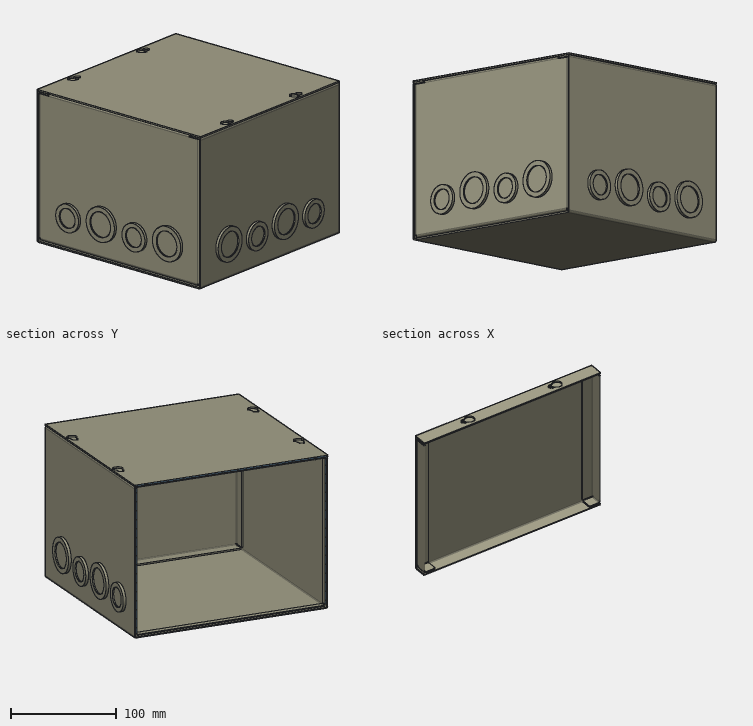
import cadquery as cq
import math

OVERALL_WIDTH = 209.1
OVERALL_HEIGHT = 154.0
KNOCKOUT_PROTRUSION = 3.0
BOX_WIDTH = OVERALL_WIDTH - 2 * KNOCKOUT_PROTRUSION
BOX_HALF = BOX_WIDTH / 2

SHEET = 1.53
BEND_RADIUS = 2.0
INNER_BEND_RADIUS = BEND_RADIUS - SHEET
FLANGE_LENGTH = 12.8
FLANGE_CLEARANCE = 1.7
PANEL_FLOOR_GAP = 0.8

BOTTOM_Z = -OVERALL_HEIGHT / 2
TOP_Z = OVERALL_HEIGHT / 2
COVER_BOTTOM_Z = TOP_Z - SHEET

PANEL_HALF = BOX_HALF - SHEET
PANEL_BOTTOM_Z = BOTTOM_Z + SHEET + PANEL_FLOOR_GAP
PANEL_TOP_Z = COVER_BOTTOM_Z

SMALL_KNOCKOUT = (14.2, 9.8)
LARGE_KNOCKOUT = (17.5, 12.8)
KNOCKOUTS_IN_ROW = [SMALL_KNOCKOUT, LARGE_KNOCKOUT, SMALL_KNOCKOUT, LARGE_KNOCKOUT]
KNOCKOUT_RECESS = 1.5
KNOCKOUT_PITCH = 41.2
KNOCKOUT_LOW_EDGE = 17.5
PANEL_KNOCKOUT_RISE = 2.0

KEYHOLE_X = 95.0
KEYHOLE_Y = 50.5
KEYHOLE_TRAVEL = 6.5
KEYHOLE_HEAD_RADIUS = 5.0
KEYHOLE_SLOT_RADIUS = 3.0
SCREW_HOLE_RADIUS = 2.0


def screw_points():
    return [(sx * KEYHOLE_X, sy * KEYHOLE_Y) for sx in (-1, 1) for sy in (-1, 1)]


def knockout_row(plane, low_edge):
    """A row of alternating small and large recessed discs that rise along the plane normal.

    The lowest points of all discs lie at the local height low_edge.
    """
    row = []
    middle_index = (len(KNOCKOUTS_IN_ROW) - 1) / 2
    for index, (outer, inner) in enumerate(KNOCKOUTS_IN_ROW):
        along = (index - middle_index) * KNOCKOUT_PITCH
        centre = cq.Workplane(plane).center(along, low_edge + outer)
        disc = centre.circle(outer).extrude(KNOCKOUT_PROTRUSION)
        recess_floor = centre.workplane(offset=KNOCKOUT_PROTRUSION - KNOCKOUT_RECESS)
        row.append(disc.cut(recess_floor.circle(inner).extrude(KNOCKOUT_RECESS)))
    return row


def make_wrapper():
    """Bottom and two side walls folded from one sheet, with an inward flange on top of each side."""
    height = COVER_BOTTOM_Z - BOTTOM_Z
    middle_z = (COVER_BOTTOM_Z + BOTTOM_Z) / 2
    outside = (
        cq.Workplane("XY").box(BOX_WIDTH, BOX_WIDTH, height).edges("|Y").fillet(BEND_RADIUS)
    )
    inside = (
        cq.Workplane("XY")
        .box(BOX_WIDTH - 2 * SHEET, BOX_WIDTH, height - 2 * SHEET)
        .edges("|Y")
        .fillet(INNER_BEND_RADIUS)
    )
    mouth = cq.Workplane("XY").box(
        BOX_WIDTH - 2 * FLANGE_LENGTH, BOX_WIDTH, height, centered=(True, True, False)
    )
    wrapper = outside.cut(inside).cut(mouth).translate((0, 0, middle_z))

    screw_holes = (
        cq.Workplane("XY", origin=(0, 0, COVER_BOTTOM_Z))
        .pushPoints(screw_points())
        .circle(SCREW_HOLE_RADIUS)
        .extrude(-SHEET)
    )
    wrapper = wrapper.cut(screw_holes)

    left_face = cq.Plane(origin=(-BOX_HALF, 0, BOTTOM_Z), xDir=(0, -1, 0), normal=(-1, 0, 0))
    for disc in knockout_row(left_face, KNOCKOUT_LOW_EDGE):
        wrapper = wrapper.union(disc).union(disc.mirror("YZ"))
    return wrapper


def bent_flange(length):
    """A bend and flange along X: the face bends from z = -BEND_RADIUS, y = 0 up to z = 0 and runs to +Y."""
    diagonal = math.sqrt(0.5)
    outer_mid = (BEND_RADIUS * (1 - diagonal), -BEND_RADIUS * (1 - diagonal))
    inner_mid = (BEND_RADIUS - INNER_BEND_RADIUS * diagonal, -BEND_RADIUS + INNER_BEND_RADIUS * diagonal)
    return (
        cq.Workplane("YZ", origin=(-length / 2, 0, 0))
        .moveTo(0, -BEND_RADIUS)
        .threePointArc(outer_mid, (BEND_RADIUS, 0))
        .lineTo(FLANGE_LENGTH, 0)
        .lineTo(FLANGE_LENGTH, -SHEET)
        .lineTo(BEND_RADIUS, -SHEET)
        .threePointArc(inner_mid, (SHEET, -BEND_RADIUS))
        .close()
        .extrude(length)
    )


def make_front_panel():
    """Flat plate at the front with a flange folded inward along each of its four edges."""
    plate_width = 2 * (PANEL_HALF - BEND_RADIUS)
    plate_height = PANEL_TOP_Z - PANEL_BOTTOM_Z - 2 * BEND_RADIUS
    middle_z = (PANEL_TOP_Z + PANEL_BOTTOM_Z) / 2
    panel = cq.Workplane("XY").box(plate_width, SHEET, plate_height, centered=(True, False, True))
    panel = panel.translate((0, 0, middle_z))

    top_flange_length = 2 * (BOX_HALF - FLANGE_LENGTH - FLANGE_CLEARANCE)
    flanges = [
        (top_flange_length, 0, (0, 0, PANEL_TOP_Z)),
        (plate_width, 180, (0, 0, PANEL_BOTTOM_Z)),
        (plate_height, 90, (PANEL_HALF, 0, middle_z)),
        (plate_height, -90, (-PANEL_HALF, 0, middle_z)),
    ]
    for length, turn, place in flanges:
        flange = bent_flange(length).rotate((0, 0, 0), (0, 1, 0), turn)
        panel = panel.union(flange.translate(place))

    panel = panel.translate((0, -BOX_HALF, 0))
    front_face = cq.Plane(origin=(0, -BOX_HALF, BOTTOM_Z), xDir=(1, 0, 0), normal=(0, -1, 0))
    low_edge = KNOCKOUT_LOW_EDGE + PANEL_KNOCKOUT_RISE
    for disc in knockout_row(front_face, low_edge):
        panel = panel.union(disc)
    return panel


def keyhole(x, y):
    """Cutter for one keyhole: the slot ends round at (x, y) and runs toward -Y into the wide end."""
    narrow_end = cq.Workplane("XY", origin=(x, y, COVER_BOTTOM_Z))
    wide_end = cq.Workplane("XY", origin=(x, y - KEYHOLE_TRAVEL, COVER_BOTTOM_Z))
    slot = cq.Workplane("XY", origin=(x, y - KEYHOLE_TRAVEL / 2, COVER_BOTTOM_Z))
    cutter = wide_end.circle(KEYHOLE_HEAD_RADIUS).extrude(SHEET)
    cutter = cutter.union(slot.rect(2 * KEYHOLE_SLOT_RADIUS, KEYHOLE_TRAVEL).extrude(SHEET))
    return cutter.union(narrow_end.circle(KEYHOLE_SLOT_RADIUS).extrude(SHEET))


def make_cover():
    """Flat square cover with a keyhole above each screw hole."""
    cover = cq.Workplane("XY", origin=(0, 0, COVER_BOTTOM_Z)).box(
        BOX_WIDTH, BOX_WIDTH, SHEET, centered=(True, True, False)
    )
    for x, y in screw_points():
        cover = cover.cut(keyhole(x, y))
    return cover


wrapper = make_wrapper()
front_panel = make_front_panel()
back_panel = front_panel.rotate((0, 0, 0), (0, 0, 1), 180)
cover = make_cover()

result = cq.Compound.makeCompound([wrapper.val(), front_panel.val(), back_panel.val(), cover.val()])